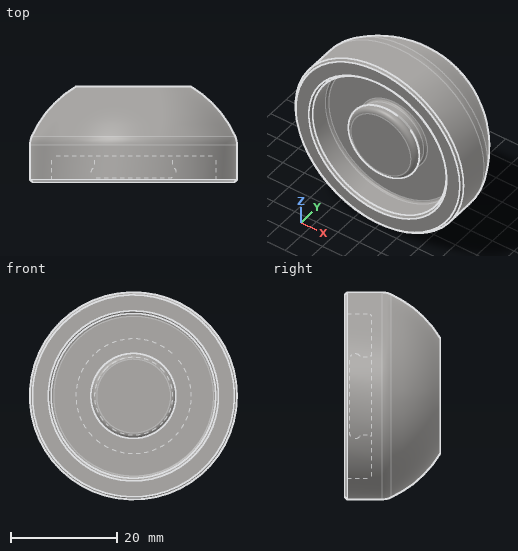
import cadquery as cq
import math

outer_radius = 19.5
height = 18.0
rim_chamfer = 0.5
side_end = 7.02
shoulder_radius = 4.0

recess_radius = 15.5
recess_depth = 5.0
mouth_chamfer = 0.5
floor_fillet = 0.45

head_radius = 8.0
head_edge_radius = 1.05
head_front = 0.9
neck_radius = 7.35
neck_fillet = 0.5

arc_middle = math.sqrt(0.5)

shoulder_center_radius = outer_radius - shoulder_radius
shoulder_center_distance = math.hypot(shoulder_center_radius, side_end)
dome_radius = shoulder_center_distance + shoulder_radius
blend_angle = math.atan2(side_end, shoulder_center_radius)
top_angle = math.asin(height / dome_radius)


def dome_point(angle):
    """Point (radius, Y) on the dome at an angle above the front face."""
    return dome_radius * math.cos(angle), dome_radius * math.sin(angle)


def shoulder_point(angle):
    """Point (radius, Y) on the blend between the side and the dome."""
    return (
        shoulder_center_radius + shoulder_radius * math.cos(angle),
        side_end + shoulder_radius * math.sin(angle),
    )


def revolve_profile(profile):
    """Turn a closed (radius, Y) profile about the Y axis."""
    return profile.close().revolve(360, (0, 0, 0), (0, 1, 0))


def make_body():
    """Chamfered cylinder with a blended, flat-topped dome."""
    profile = (
        cq.Workplane("XY")
        .lineTo(outer_radius - rim_chamfer, 0)
        .lineTo(outer_radius, rim_chamfer)
        .lineTo(outer_radius, side_end)
        .threePointArc(shoulder_point(blend_angle / 2), dome_point(blend_angle))
        .threePointArc(dome_point((blend_angle + top_angle) / 2), dome_point(top_angle))
        .lineTo(0, height)
    )
    return revolve_profile(profile)


def make_recess():
    """Round recess with a chamfered mouth and a filleted floor corner."""
    fillet_center_radius = recess_radius - floor_fillet
    fillet_center_y = recess_depth - floor_fillet
    fillet_middle = (
        fillet_center_radius + floor_fillet * arc_middle,
        fillet_center_y + floor_fillet * arc_middle,
    )
    profile = (
        cq.Workplane("XY")
        .lineTo(recess_radius + mouth_chamfer, 0)
        .lineTo(recess_radius, mouth_chamfer)
        .lineTo(recess_radius, fillet_center_y)
        .threePointArc(fillet_middle, (fillet_center_radius, recess_depth))
        .lineTo(0, recess_depth)
    )
    return revolve_profile(profile)


def make_knob():
    """Round-edged knob on a narrower neck that flares into the recess floor."""
    head_flat_radius = head_radius - head_edge_radius
    head_middle_y = head_front + head_edge_radius
    fillet_center_radius = neck_radius + neck_fillet
    flare_start = recess_depth - neck_fillet
    flare_middle = (
        fillet_center_radius - neck_fillet * arc_middle,
        flare_start + neck_fillet * arc_middle,
    )

    center_distance = head_edge_radius + neck_fillet
    under_angle = math.acos((fillet_center_radius - head_flat_radius) / center_distance)
    under_center_y = head_middle_y + center_distance * math.sin(under_angle)
    head_end = (
        head_flat_radius + head_edge_radius * math.cos(under_angle),
        head_middle_y + head_edge_radius * math.sin(under_angle),
    )
    under_middle = (
        fillet_center_radius - neck_fillet * math.cos(under_angle / 2),
        under_center_y - neck_fillet * math.sin(under_angle / 2),
    )
    profile = (
        cq.Workplane("XY")
        .moveTo(0, head_front)
        .lineTo(head_flat_radius, head_front)
        .threePointArc((head_radius, head_middle_y), head_end)
        .threePointArc(under_middle, (neck_radius, under_center_y))
        .lineTo(neck_radius, flare_start)
        .threePointArc(flare_middle, (fillet_center_radius, recess_depth))
        .lineTo(0, recess_depth)
    )
    return revolve_profile(profile)


result = make_body().cut(make_recess()).union(make_knob())